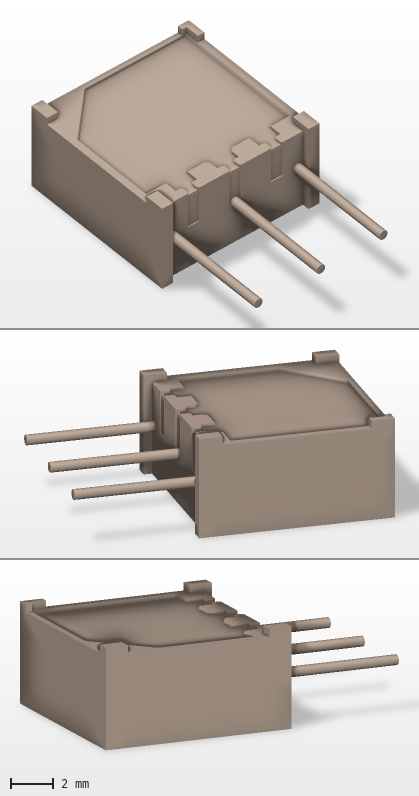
import cadquery as cq

total_length = 15.44
total_height = 4.95
body_size = 9.57

post_length = 1.15
post_width = 0.66
post_height = 0.4

pin_recess = 0.42
pin_diameter = 0.51
pin_pitch = 3.8
pin_embed = 0.46

pocket_depth = 0.15
pocket_side_margin = 0.4
pocket_back_margin = 0.31
pocket_front_margin = 1.65
pocket_chamfer = 2.56
wall_draft = 0.11

channel_pitch = 2.53
opening_width = 1.3
channel_width = 0.57
neck_margin = 0.94
neck_radius = 0.15
mouth_chamfer = 0.3
groove_depth = 0.06
groove_width = 0.7

half_body = body_size / 2
top_z = total_height - post_height
floor_z = top_z - pocket_depth
pin_z = total_height / 2
pin_face_x = half_body - pin_recess
pin_end_x = total_length - half_body
pocket_front_x = half_body - pocket_front_margin
pocket_floor_front_x = pocket_front_x - wall_draft
neck_x = half_body - neck_margin


def make_body():
    """Square block with a post on each corner and a recessed pin-side face."""
    body = cq.Workplane("XY").box(body_size, body_size, top_z, centered=(True, True, False))
    posts = (
        cq.Workplane("XY")
        .workplane(offset=top_z)
        .rect(body_size - post_length, body_size - post_width, forConstruction=True)
        .vertices()
        .rect(post_length, post_width)
        .extrude(post_height)
    )
    recess = (
        cq.Workplane("XY")
        .center(half_body - pin_recess / 2, 0)
        .rect(pin_recess, body_size - 2 * post_width)
        .extrude(total_height)
    )
    return body.union(posts).cut(recess)


def pocket_outline(lean):
    """Pocket outline with its sloped walls moved inward by lean."""
    back_x = -half_body + pocket_back_margin
    front_x = pocket_front_x - lean
    side_y = half_body - pocket_side_margin - lean
    return [
        (back_x, side_y),
        (front_x, side_y),
        (front_x, -side_y),
        (back_x + pocket_chamfer, -side_y),
        (back_x, -side_y + pocket_chamfer),
    ]


def make_pocket():
    """Pocket with sloped walls, continued straight up through the post it meets."""
    sloped = (
        cq.Workplane("XY")
        .workplane(offset=floor_z)
        .polyline(pocket_outline(wall_draft))
        .close()
        .workplane(offset=pocket_depth)
        .polyline(pocket_outline(0))
        .close()
        .loft(ruled=True)
    )
    above = (
        cq.Workplane("XY")
        .workplane(offset=top_z)
        .polyline(pocket_outline(0))
        .close()
        .extrude(post_height)
    )
    return sloped.union(above)


def floor_box(x_start, x_end, width, y):
    """Box standing on the pocket floor and reaching the top face."""
    return (
        cq.Workplane("XY")
        .workplane(offset=floor_z)
        .center((x_start + x_end) / 2, y)
        .rect(x_end - x_start, width)
        .extrude(pocket_depth)
    )


def make_channel(y):
    """Stepped channel leading from the pocket to the pin-side face."""
    opening = floor_box(pocket_floor_front_x, neck_x, opening_width, y)
    neck = floor_box(pocket_floor_front_x, half_body, channel_width, y)
    reach = (channel_width + neck_radius) / 2
    neck_corners = cq.selectors.BoxSelector(
        (neck_x - neck_radius / 2, y - reach, floor_z),
        (neck_x + neck_radius / 2, y + reach, top_z),
    )
    return opening.union(neck).edges("|Z").edges(neck_corners).fillet(neck_radius)


def make_groove(y):
    """Shallow groove on the pin-side face, from the pin axis up to the top face."""
    return (
        cq.Workplane("XY")
        .workplane(offset=pin_z)
        .center(pin_face_x - groove_depth / 2, y)
        .rect(groove_depth, groove_width)
        .extrude(top_z - pin_z)
    )


def make_mouth_chamfers():
    """Cut corners that widen the middle channel where it meets the pocket."""
    half_opening = opening_width / 2
    return (
        cq.Workplane("XY")
        .workplane(offset=floor_z)
        .polyline([
            (pocket_floor_front_x, -half_opening - mouth_chamfer),
            (pocket_floor_front_x, half_opening + mouth_chamfer),
            (pocket_floor_front_x + mouth_chamfer, half_opening),
            (pocket_floor_front_x + mouth_chamfer, -half_opening),
        ])
        .close()
        .extrude(pocket_depth)
    )


def make_pin(y):
    """Round pin along X, rooted inside the body."""
    root_x = pin_face_x - pin_embed
    return (
        cq.Workplane("YZ", origin=(root_x, y, pin_z))
        .circle(pin_diameter / 2)
        .extrude(pin_end_x - root_x)
    )


rows = (-1, 0, 1)
result = make_body().cut(make_pocket()).cut(make_mouth_chamfers())
for row in rows:
    result = result.cut(make_channel(row * channel_pitch))
    result = result.cut(make_groove(row * channel_pitch))
for row in rows:
    result = result.union(make_pin(row * pin_pitch))